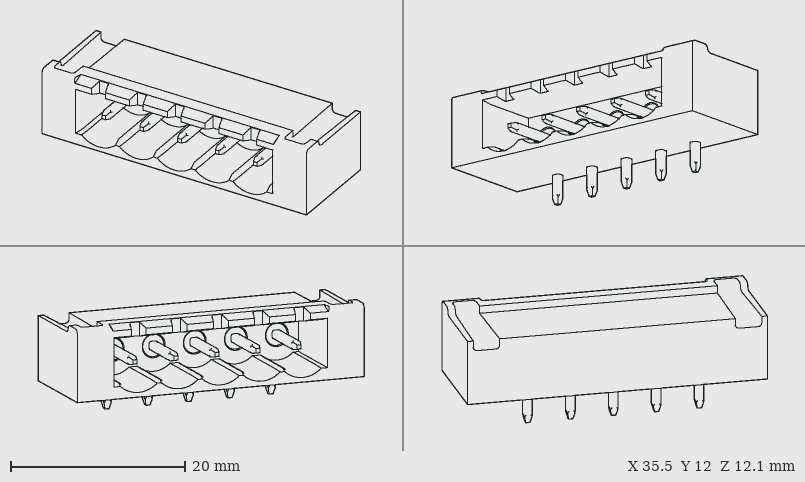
import cadquery as cq


LENGTH = 35.5
DEPTH = 12.0
HEIGHT = 8.6
OVERCUT = 1.78

PIN_COUNT = 5
PITCH = 5.08
PIN_SIZE = 1.03
PIN_EDGE_RADIUS = 0.265
PIN_AXIS_Z = 3.9
PIN_TAIL = 3.48
PIN_FRONT_Y = 1.17
PIN_LEG_Y = DEPTH - 2.02
TIP_LENGTH = 1.03
TIP_SIZE = 0.5
PIN_POSITIONS = [(i - (PIN_COUNT - 1) / 2) * PITCH for i in range(PIN_COUNT)]

CAVITY_WIDTH = 25.7
CAVITY_FLOOR_Z = 1.67
CAVITY_TOP_Z = 6.92
CAVITY_DEPTH = 8.0
MOUTH_DEPTH = 1.1
MOUTH_FLARE = 0.35
FLOOR_FLARE = 0.2
TROUGH_RADIUS = CAVITY_TOP_Z - PIN_AXIS_Z
TROUGH_FLARE = 0.32

SEAT_RADIUS = 1.42
SEAT_INNER_RADIUS = 1.3
SEAT_DEPTH = 0.15

SHELF_Z = 7.7
STEP_Y = 3.05
BLEND_FRONT_Y = 2.27
BLEND_BACK_Y = 3.35
BLEND_MIDDLE_X = 15.62

FRONT_RADIUS = 0.55
BEVEL_LENGTH = 26.65
BEVEL_END_LEAN = 0.3
BEVEL_DEPTH = 1.3
BEVEL_DROP = 0.55

SLOT_DEPTH = 1.25
SLOT_FRONT_WIDTH = 1.85
SLOT_BACK_WIDTH = 1.17

GROOVE_FLOOR_Z = 6.5
GROOVE_END_Y = 1.0
GROOVE_OUTER_FRONT = 0.92
GROOVE_INNER_FRONT = 3.65
GROOVE_OUTER_BACK = 0.67
GROOVE_INNER_BACK = 3.8
GROOVE_RADIUS = 0.45


def box(x0, x1, y0, y1, z0, z1):
    return cq.Workplane("XY").box(x1 - x0, y1 - y0, z1 - z0, centered=False).translate((x0, y0, z0))


def middle_step():
    """Lowered top between the two grooves, with a straight step."""
    half = BLEND_MIDDLE_X
    return box(-half, half, STEP_Y, DEPTH + OVERCUT, SHELF_Z, HEIGHT + OVERCUT)


def end_step(x0, x1):
    """Lowered top at one end, joined to the front bar by two equal opposite arcs."""
    middle = ((BLEND_FRONT_Y + BLEND_BACK_Y) / 2, (HEIGHT + SHELF_Z) / 2)
    back_y = DEPTH + OVERCUT
    roof_z = HEIGHT + OVERCUT
    outline = (
        cq.Workplane("YZ")
        .moveTo(BLEND_FRONT_Y - OVERCUT, HEIGHT)
        .lineTo(BLEND_FRONT_Y, HEIGHT)
        .tangentArcPoint(middle, relative=False)
        .tangentArcPoint((BLEND_BACK_Y, SHELF_Z), relative=False)
        .lineTo(back_y, SHELF_Z)
        .lineTo(back_y, roof_z)
        .lineTo(BLEND_FRONT_Y - OVERCUT, roof_z)
        .close()
    )
    return outline.extrude(x1 - x0).translate((x0, 0, 0))


def bevel():
    """Sloped top of the front bar: a trapezoid, wider at the top, swept down the slope."""
    slope = cq.Plane(origin=(0, 0, HEIGHT - BEVEL_DROP), xDir=(1, 0, 0), normal=(0, BEVEL_DEPTH, BEVEL_DROP))
    low = BEVEL_LENGTH / 2
    high = low + BEVEL_END_LEAN
    return (
        cq.Workplane(slope)
        .polyline([(-low, 0), (low, 0), (high, -BEVEL_DROP), (-high, -BEVEL_DROP)])
        .close()
        .extrude(BEVEL_DEPTH + BEVEL_DROP)
    )


def coding_slot(x):
    """Slot through the front bar above one pin, narrowing toward the back."""
    front = SLOT_FRONT_WIDTH / 2
    back = SLOT_BACK_WIDTH / 2
    return (
        cq.Workplane("XY", origin=(x, 0, PIN_AXIS_Z))
        .polyline([(-front, 0), (front, 0), (back, SLOT_DEPTH), (-back, SLOT_DEPTH)])
        .close()
        .extrude(HEIGHT)
    )


def groove():
    """Groove at the -X end, open at the back and rounded along the floor."""
    end = -LENGTH / 2
    tool = (
        cq.Workplane("XY", origin=(0, 0, GROOVE_FLOOR_Z))
        .polyline([
            (end + GROOVE_OUTER_FRONT, GROOVE_END_Y),
            (end + GROOVE_INNER_FRONT, GROOVE_END_Y),
            (end + GROOVE_INNER_BACK, DEPTH),
            (end + GROOVE_OUTER_BACK, DEPTH),
        ])
        .close()
        .extrude(HEIGHT)
    )
    tool = tool.edges("|Z and <Y").fillet(GROOVE_RADIUS)
    return tool.faces("<Z").edges("not >Y").fillet(GROOVE_RADIUS)


def rectangle_wire(half_width, y, z_low, z_high):
    """Rectangle facing along Y, centred on X = 0."""
    corners = [
        cq.Vector(-half_width, y, z_low),
        cq.Vector(half_width, y, z_low),
        cq.Vector(half_width, y, z_high),
        cq.Vector(-half_width, y, z_high),
    ]
    return cq.Wire.makePolygon(corners, close=True)


def cavity():
    """Rectangular plug cavity with a flared mouth."""
    half = CAVITY_WIDTH / 2
    room = box(-half, half, 0, CAVITY_DEPTH, CAVITY_FLOOR_Z, CAVITY_TOP_Z)
    outer = rectangle_wire(half + MOUTH_FLARE, 0, CAVITY_FLOOR_Z - FLOOR_FLARE, CAVITY_TOP_Z + MOUTH_FLARE)
    inner = rectangle_wire(half, MOUTH_DEPTH, CAVITY_FLOOR_Z, CAVITY_TOP_Z)
    mouth = cq.Solid.makeLoft([outer, inner], True)
    return room.union(cq.Workplane(mouth))


def trough(x):
    """Round trough in the cavity floor, centred on a pin and flared at the mouth."""
    front = cq.Vector(x, 0, PIN_AXIS_Z)
    inward = cq.Vector(0, 1, 0)
    barrel = cq.Solid.makeCylinder(TROUGH_RADIUS, CAVITY_DEPTH, front, inward)
    flare = cq.Solid.makeCone(TROUGH_RADIUS + TROUGH_FLARE, TROUGH_RADIUS, MOUTH_DEPTH, front, inward)
    below_floor = box(x - PITCH / 2, x + PITCH / 2, 0, CAVITY_DEPTH, 0, CAVITY_FLOOR_Z)
    return cq.Workplane(barrel).union(cq.Workplane(flare)).intersect(below_floor)


def pin_seat(x):
    """Shallow conical recess around a pin in the cavity's back wall."""
    return cq.Workplane(cq.Solid.makeCone(
        SEAT_RADIUS, SEAT_INNER_RADIUS, SEAT_DEPTH,
        cq.Vector(x, CAVITY_DEPTH, PIN_AXIS_Z), cq.Vector(0, 1, 0),
    ))


def pin_leg(length):
    """Straight leg along +Z, with rounded edges and a tapered tip at the top."""
    bar = (
        cq.Workplane("XY")
        .rect(PIN_SIZE, PIN_SIZE)
        .extrude(length)
        .edges("|Z")
        .fillet(PIN_EDGE_RADIUS)
    )
    shaft = length - TIP_LENGTH
    tip = (
        cq.Workplane("XY", origin=(0, 0, shaft))
        .rect(PIN_SIZE, PIN_SIZE)
        .workplane(offset=TIP_LENGTH)
        .rect(TIP_SIZE, TIP_SIZE)
        .loft(ruled=True)
    )
    envelope = cq.Workplane("XY").rect(PIN_SIZE, PIN_SIZE).extrude(shaft).union(tip)
    return bar.intersect(envelope)


def make_pin(x):
    """L-shaped pin: contact leg toward the mating face, solder leg downward."""
    half = PIN_SIZE / 2
    contact = (
        pin_leg(PIN_LEG_Y + half - PIN_FRONT_Y)
        .rotate((0, 0, 0), (1, 0, 0), 90)
        .translate((x, PIN_LEG_Y + half, PIN_AXIS_Z))
    )
    solder = (
        pin_leg(PIN_AXIS_Z + half + PIN_TAIL)
        .rotate((0, 0, 0), (1, 0, 0), 180)
        .translate((x, PIN_LEG_Y, PIN_AXIS_Z + half))
    )
    return contact.union(solder)


def make_housing(pins):
    end = LENGTH / 2
    body = box(-end, end, 0, DEPTH, 0, HEIGHT)
    body = body.edges("<Y and >Z").fillet(FRONT_RADIUS)
    body = body.cut(middle_step())
    body = body.cut(end_step(-end, -BLEND_MIDDLE_X))
    body = body.cut(end_step(BLEND_MIDDLE_X, end))
    body = body.cut(groove()).cut(groove().mirror("YZ"))
    body = body.cut(bevel()).cut(cavity())
    for x, pin in zip(PIN_POSITIONS, pins):
        body = body.cut(coding_slot(x)).cut(trough(x)).cut(pin_seat(x)).cut(pin)
    return body


pins = [make_pin(x) for x in PIN_POSITIONS]
housing = make_housing(pins)

result = cq.Compound.makeCompound([housing.val(), *[pin.val() for pin in pins]])